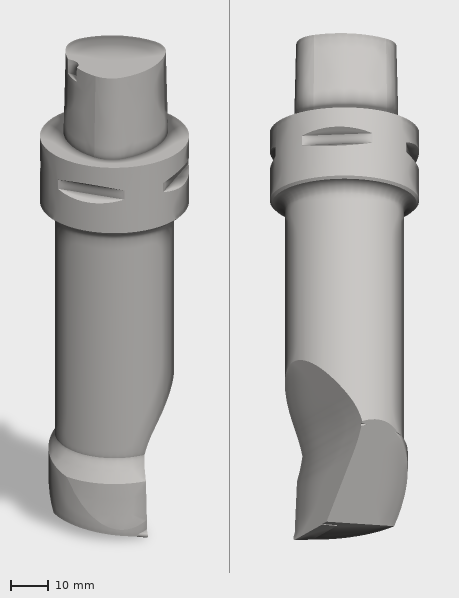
import cadquery as cq
import math

TOTAL_HEIGHT = 134.0
FLANGE_TOP = 110.1
FLANGE_BOTTOM = 90.0
SHANK_BOTTOM = 22.0
FLARE_BOTTOM = 16.2

FLANGE_RADIUS = 40.0 / 2
FLANGE_CHAMFER = 0.7
SHANK_RADIUS = 32.0 / 2
NECK_FILLET = 2.7

LOBE_REACH = 15.0
FLANK_REACH = 13.1
LOBE_RADIUS = 8.0
COUPLING_TAPER = math.degrees(math.atan(1 / 40))
KEY_RADIUS = 3.5
KEY_DEPTH = 1.6
KEY_HEIGHT = 4.2

SLOT_COUNT = 4
SLOT_LEVEL = 102.0
SLOT_DEPTH = 2.4
SLOT_FLOOR_HEIGHT = 2.7
SLOT_SIDE_ANGLE = 30.0

FLARE_RADIUS = 20.1
HEAD_BOTTOM_RADIUS = 21.5
HEAD_RADIUS = 18.1
HEAD_CENTRE = (3.0, -1.0)
SLANT_HIGH = (-16.1, 23.7)
SLANT_LOW = (4.5, 0.5)
UNDERSIDE_LEVEL = 0.4
UNDERSIDE_ANGLE = 7.5

TIP_X = 21.91
CHIP_FACE_ANGLE = 7.4
CHIP_CURVE_START = 15.4
CHIP_CURVE_RADIUS = 24.1
CHIP_CURVE_ANGLE = 35.0

INSERT_EDGE = 15.5
INSERT_ANGLE = 55.0
INSERT_THICKNESS = 4.8
INSERT_RELIEF = 7.0
NOSE_RADIUS = 0.8

CUT_SIZE = 80.4


def polar(radius, degrees, centre=(0.0, 0.0)):
    angle = math.radians(degrees)
    return (centre[0] + radius * math.cos(angle), centre[1] + radius * math.sin(angle))


def turned_to_chip_face(body):
    """Move a body from the insert frame (tip at the origin, chip face on XZ) to the tool."""
    return body.rotate((0, 0, 0), (0, 0, 1), -CHIP_FACE_ANGLE).translate((TIP_X, 0, 0))


def make_coupling():
    """Six tangent arcs: three lobes and three flatter flanks, tapering upwards."""
    lobe_offset = LOBE_REACH - LOBE_RADIUS
    reach_gap = FLANK_REACH - LOBE_RADIUS
    flank_offset = (lobe_offset**2 - reach_gap**2) / (2 * reach_gap - lobe_offset)
    flank_half_angle = math.degrees(math.atan2(
        lobe_offset * math.sin(math.radians(60)),
        flank_offset + lobe_offset * math.cos(math.radians(60))))
    lobe_half_angle = 60 - flank_half_angle

    lobe_angles = (90, 210, 330)
    first_centre = polar(lobe_offset, lobe_angles[0])
    profile = cq.Workplane("XY").workplane(offset=FLANGE_TOP)
    profile = profile.moveTo(*polar(LOBE_RADIUS, lobe_angles[0] - lobe_half_angle, first_centre))
    for angle in lobe_angles:
        centre = polar(lobe_offset, angle)
        next_angle = angle + 120
        next_centre = polar(lobe_offset, next_angle)
        profile = profile.threePointArc(
            polar(LOBE_REACH, angle),
            polar(LOBE_RADIUS, angle + lobe_half_angle, centre))
        profile = profile.threePointArc(
            polar(FLANK_REACH, angle + 60),
            polar(LOBE_RADIUS, next_angle - lobe_half_angle, next_centre))
    height = TOTAL_HEIGHT - FLANGE_TOP
    coupling = profile.close().extrude(height, taper=COUPLING_TAPER)

    end_reach = FLANK_REACH - height * math.tan(math.radians(COUPLING_TAPER))
    keyway = (cq.Workplane("XY").workplane(offset=TOTAL_HEIGHT - KEY_HEIGHT)
              .center(0, KEY_DEPTH - end_reach - KEY_RADIUS)
              .circle(KEY_RADIUS).extrude(KEY_HEIGHT))
    return coupling.cut(keyway)


def make_flange_and_shank():
    arc_centre = (SHANK_RADIUS + NECK_FILLET, FLANGE_BOTTOM - NECK_FILLET)
    return (cq.Workplane("XZ")
            .moveTo(0, FLANGE_TOP)
            .lineTo(FLANGE_RADIUS, FLANGE_TOP)
            .lineTo(FLANGE_RADIUS, FLANGE_BOTTOM + FLANGE_CHAMFER)
            .lineTo(FLANGE_RADIUS - FLANGE_CHAMFER, FLANGE_BOTTOM)
            .lineTo(arc_centre[0], FLANGE_BOTTOM)
            .threePointArc(polar(NECK_FILLET, 135, arc_centre), (SHANK_RADIUS, arc_centre[1]))
            .lineTo(SHANK_RADIUS, SHANK_BOTTOM)
            .lineTo(0, SHANK_BOTTOM)
            .close().revolve(360, (0, 0), (0, 1)))


def make_gripper_slot(angle):
    """Tangential slot whose sides open outwards from a flat floor."""
    floor = FLANGE_RADIUS - SLOT_DEPTH
    half_floor = SLOT_FLOOR_HEIGHT / 2
    half_mouth = half_floor + SLOT_DEPTH * math.tan(math.radians(SLOT_SIDE_ANGLE))
    slot = (cq.Workplane("XZ")
            .polyline([(floor, SLOT_LEVEL - half_floor), (FLANGE_RADIUS, SLOT_LEVEL - half_mouth),
                       (FLANGE_RADIUS, SLOT_LEVEL + half_mouth), (floor, SLOT_LEVEL + half_floor)])
            .close().extrude(FLANGE_RADIUS, both=True))
    return slot.rotate((0, 0, 0), (0, 0, 1), angle)


def make_head():
    """Flared cone around the tool axis, trimmed by the off-centre cylinder."""
    cone = (cq.Workplane("XZ")
            .polyline([(0, SHANK_BOTTOM), (SHANK_RADIUS, SHANK_BOTTOM), (FLARE_RADIUS, FLARE_BOTTOM),
                       (HEAD_BOTTOM_RADIUS, 0), (0, 0)])
            .close().revolve(360, (0, 0), (0, 1)))
    boundary = cq.Workplane("XY").center(*HEAD_CENTRE).circle(HEAD_RADIUS).extrude(SHANK_BOTTOM)
    return cone.intersect(boundary)


def make_slant_cut():
    """Everything below the slanted flat on the -X side."""
    run = SLANT_LOW[0] - SLANT_HIGH[0]
    drop = SLANT_HIGH[1] - SLANT_LOW[1]
    slant_angle = math.degrees(math.atan2(drop, run))
    block = cq.Workplane("XY").box(CUT_SIZE, CUT_SIZE, CUT_SIZE).translate((0, 0, -CUT_SIZE / 2))
    return block.rotate((0, 0, 0), (0, 1, 0), slant_angle).translate((SLANT_LOW[0], 0, SLANT_LOW[1]))


def make_underside_cut():
    block = cq.Workplane("XY").box(CUT_SIZE, CUT_SIZE, CUT_SIZE).translate((0, 0, -CUT_SIZE / 2))
    return block.rotate((0, 0, 0), (1, 0, 0), -UNDERSIDE_ANGLE).translate((0, 0, UNDERSIDE_LEVEL))


def make_chip_cut():
    """Flat chip face that curves outwards and runs out of the shank in a straight slope."""
    arc_centre = (CHIP_CURVE_RADIUS, CHIP_CURVE_START)
    arc_middle = polar(CHIP_CURVE_RADIUS, 180 - CHIP_CURVE_ANGLE / 2, arc_centre)
    arc_end = polar(CHIP_CURVE_RADIUS, 180 - CHIP_CURVE_ANGLE, arc_centre)
    outer = 2 * FLANGE_RADIUS
    slope_rise = (outer - arc_end[0]) / math.tan(math.radians(CHIP_CURVE_ANGLE))
    cut = (cq.Workplane("YZ")
           .moveTo(0, -FLANGE_RADIUS)
           .lineTo(0, CHIP_CURVE_START)
           .threePointArc(arc_middle, arc_end)
           .lineTo(outer, arc_end[1] + slope_rise)
           .lineTo(outer, -FLANGE_RADIUS)
           .close().extrude(CUT_SIZE, both=True))
    return turned_to_chip_face(cut)


def make_insert():
    """Rhombic plate with relieved sides and a rounded nose, its top flush with the chip face."""
    nose_tip = NOSE_RADIUS * (1 / math.tan(math.radians(INSERT_ANGLE / 2)) - 1)
    side = polar(INSERT_EDGE, 180 - INSERT_ANGLE)
    plate = (cq.Workplane("XZ")
             .polyline([(nose_tip, 0), (nose_tip + side[0], side[1]),
                        (nose_tip + side[0] - INSERT_EDGE, side[1]), (nose_tip - INSERT_EDGE, 0)])
             .close().extrude(INSERT_THICKNESS, taper=INSERT_RELIEF)
             .edges(cq.selectors.NearestToPointSelector((nose_tip, -INSERT_THICKNESS / 2, 0)))
             .fillet(NOSE_RADIUS))
    return turned_to_chip_face(plate)


insert = make_insert()

holder = make_flange_and_shank().union(make_coupling()).union(make_head())
for index in range(SLOT_COUNT):
    holder = holder.cut(make_gripper_slot((index + 0.5) * 360 / SLOT_COUNT))
holder = holder.cut(make_slant_cut())
holder = holder.cut(make_underside_cut())
holder = holder.cut(make_chip_cut())
holder = holder.cut(insert)

result = cq.Compound.makeCompound([*holder.solids().vals(), insert.val()])